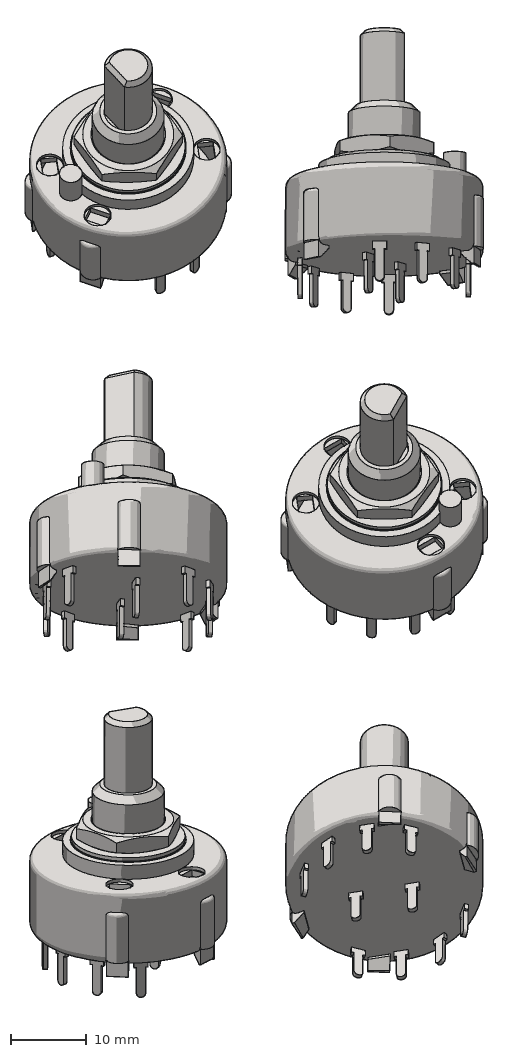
import cadquery as cq
import math


housing_dia = 26.0
housing_height = 10.5
housing_edge_radius = 1.0

cavity_dia = 24.0
cavity_height = 6.5
top_wall = 1.35

flange_dia = 17.3
flange_height = 2.0
washer_seat_dia = 15.3
washer_seat_height = 0.1

bushing_dia = 9.5
bushing_height = 10.0
bushing_chamfer = 1.0
shaft_dia = 6.35
shaft_height = 20.0
shaft_chamfer = 0.6
shaft_flat_offset = 2.3
shaft_flat_below_bushing = 1.0

post_dia = 3.0
post_height = 4.0
post_radius_from_axis = 9.5

clip_angles = (60, 120, 240, 300)
clip_width = 2.9
pocket_dia = 3.55
pocket_radius_from_axis = 10.4
pocket_depth = 0.45
slot_length = clip_width
slot_width = 2.1
boss_dia = 3.55
boss_radius_from_axis = 11.93
boss_bottom = 0.55
boss_top = 7.55
boss_edge_radius = 0.5
leg_outer_radius = 12.9
leg_thick_root = 1.8
leg_thick_tip = 0.37
leg_thin_root = 1.04
leg_thin_tip = 0.22
leg_bottom = -1.7
leg_ramp_top = -0.4

terminal_angles = (-15, 15, 45, 75, 165, 195, 225, 255)
terminal_radius = 11.1
common_positions = (135, 315)
common_radius = 3.8
terminal_width = 1.25
terminal_thickness = 0.57
terminal_length = 5.3
terminal_neck_width = 1.9
terminal_neck_length = 1.0

washer_dia = 15.0
washer_thickness = 0.5

nut_across_corners = 14.36
nut_height = 2.35
nut_face_dia = 12.0
nut_corner_drop = 0.47
nut_turn = -6.0
nut_bore_chamfer = 0.17

flange_top = housing_height + flange_height
bushing_top = housing_height + bushing_height
shaft_top = housing_height + shaft_height
cavity_top = housing_height - top_wall
washer_bottom = flange_top + washer_seat_height
nut_bottom = washer_bottom + washer_thickness


def cylinder(diameter, bottom, top):
    return cq.Workplane("XY").workplane(offset=bottom).circle(diameter / 2).extrude(top - bottom)


def place_around_axis(shape, radius, angle):
    """Move a shape out along +X by radius, then turn it about Z."""
    return shape.translate((radius, 0, 0)).rotate((0, 0, 0), (0, 0, 1), angle)


def make_shaft():
    """Round shaft with one flat facing -Y and a chamfered tip."""
    flat_bottom = bushing_top - shaft_flat_below_bushing
    shaft = cylinder(shaft_dia, flat_bottom, shaft_top)
    flat_cut = (
        cq.Workplane("XY")
        .workplane(offset=flat_bottom)
        .center(0, -shaft_flat_offset - shaft_dia / 2)
        .rect(2 * shaft_dia, shaft_dia)
        .extrude(shaft_top - flat_bottom)
    )
    return shaft.cut(flat_cut).faces(">Z").chamfer(shaft_chamfer)


def make_clip_boss():
    """Upright round boss that bulges from the housing wall."""
    boss = cylinder(boss_dia, boss_bottom, boss_top)
    return boss.faces(">Z").edges().fillet(boss_edge_radius)


def leg_profile(side, root_thickness, tip_thickness):
    """Closed leg outline in the plane Y = side: flat outer edge at X = 0, ramp on the inner edge."""
    corners = (
        (0, boss_bottom),
        (0, leg_bottom),
        (-tip_thickness, leg_bottom),
        (-root_thickness, leg_ramp_top),
        (-root_thickness, boss_bottom),
    )
    return cq.Wire.makePolygon([cq.Vector(x, side, z) for x, z in corners], close=True)


def make_clip_leg():
    """Leg whose ramp runs askew, so that it is thicker at its -Y end than at its +Y end."""
    thick_end = leg_profile(-clip_width / 2, leg_thick_root, leg_thick_tip)
    thin_end = leg_profile(clip_width / 2, leg_thin_root, leg_thin_tip)
    return cq.Workplane(cq.Solid.makeLoft([thick_end, thin_end], True))


def make_clip_pocket():
    """Shallow round pocket with a rectangular slot from its floor into the cavity."""
    pocket = cylinder(pocket_dia, housing_height - pocket_depth, housing_height)
    slot = (
        cq.Workplane("XY")
        .workplane(offset=cavity_top)
        .rect(slot_width, slot_length)
        .extrude(top_wall - pocket_depth)
    )
    return pocket.union(slot)


def make_terminal():
    """Flat terminal with a wide neck and a round tip, facing along X."""
    half_width = terminal_width / 2
    half_neck = terminal_neck_width / 2
    tip_start = half_width - terminal_length
    return (
        cq.Workplane("YZ")
        .moveTo(-half_neck, 0)
        .lineTo(-half_neck, -terminal_neck_length)
        .lineTo(-half_width, -terminal_neck_length)
        .lineTo(-half_width, tip_start)
        .threePointArc((0, -terminal_length), (half_width, tip_start))
        .lineTo(half_width, -terminal_neck_length)
        .lineTo(half_neck, -terminal_neck_length)
        .lineTo(half_neck, 0)
        .close()
        .extrude(terminal_thickness / 2, both=True)
    )


def make_switch():
    switch = cylinder(housing_dia, 0, housing_height).edges().fillet(housing_edge_radius)

    for angle in clip_angles:
        leg = make_clip_leg()
        if angle % 180 > 90:
            leg = leg.mirror("XZ")
        switch = switch.union(place_around_axis(make_clip_boss(), boss_radius_from_axis, angle))
        switch = switch.union(place_around_axis(leg, leg_outer_radius, angle))

    switch = switch.cut(cylinder(cavity_dia, cavity_top - cavity_height, cavity_top))
    for angle in clip_angles:
        switch = switch.cut(place_around_axis(make_clip_pocket(), pocket_radius_from_axis, angle))

    flange = cylinder(flange_dia, housing_height, flange_top)
    washer_seat = cylinder(washer_seat_dia, flange_top, washer_bottom)
    switch = switch.union(flange).union(washer_seat)

    bushing = cylinder(bushing_dia, housing_height, bushing_top)
    bushing = bushing.faces(">Z").chamfer(bushing_chamfer)
    shaft_socket = cylinder(shaft_dia, bushing_top - shaft_flat_below_bushing, bushing_top)
    switch = switch.union(bushing.cut(shaft_socket).union(make_shaft()))

    post = cylinder(post_dia, housing_height, housing_height + post_height)
    switch = switch.union(post.translate((0, -post_radius_from_axis, 0)))

    for angle in terminal_angles:
        switch = switch.union(place_around_axis(make_terminal(), terminal_radius, angle))

    for angle in common_positions:
        common = make_terminal().rotate((0, 0, 0), (0, 0, 1), 90)
        switch = switch.union(place_around_axis(common, common_radius, angle))
    return switch


def make_washer():
    washer = cylinder(washer_dia, washer_bottom, nut_bottom)
    return washer.cut(cylinder(bushing_dia, washer_bottom, nut_bottom))


def make_nut():
    """Hexagon with both ends coned down at the corners, and a chamfered bore."""
    corner_radius = nut_across_corners / 2
    face_radius = nut_face_dia / 2
    hexagon = (
        cq.Workplane("XY")
        .polygon(6, nut_across_corners)
        .extrude(nut_height)
        .rotate((0, 0, 0), (0, 0, 1), nut_turn)
    )
    coned_blank = (
        cq.Workplane("XZ")
        .moveTo(0, 0)
        .lineTo(face_radius, 0)
        .lineTo(corner_radius, nut_corner_drop)
        .lineTo(corner_radius, nut_height - nut_corner_drop)
        .lineTo(face_radius, nut_height)
        .lineTo(0, nut_height)
        .close()
        .revolve(360, (0, 0, 0), (0, 1, 0))
    )
    nut = hexagon.intersect(coned_blank).cut(cylinder(bushing_dia, 0, nut_height))
    bore_rims = cq.selectors.RadiusNthSelector(0)
    nut = nut.edges("%CIRCLE").edges(bore_rims).chamfer(nut_bore_chamfer)
    return nut.translate((0, 0, nut_bottom))


switch = make_switch()
washer = make_washer()
nut = make_nut()

result = cq.Compound.makeCompound([switch.val(), washer.val(), nut.val()])